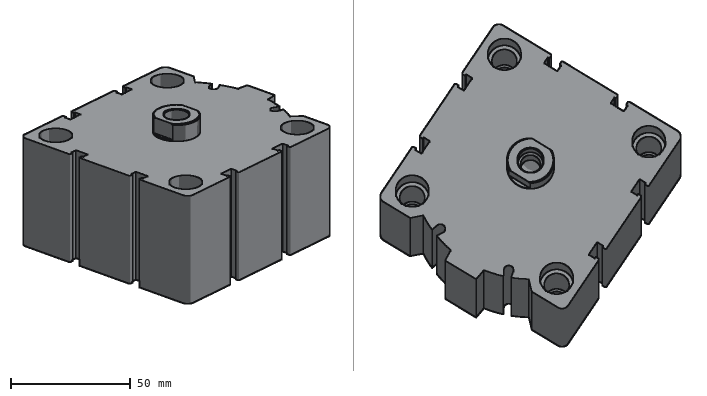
import cadquery as cq
import math

width = 93.0
half = width / 2
height = 50.0
length = 101.0
boss_rear = length - half
corner_radius = 3.0

lobe_radius = 50.0
boss_half_top = 7.7
boss_half_base = 8.3
notch_start_x = 30.3
notch_x = 26.3

groove_radius = 2.0
groove_pitch_radius = 46.9
groove_angle = 21.3
groove_mouth = 3.0
groove_overshoot = 1.0

slot_offset = 16.6
slot_mouth = 5.0
slot_inner = 6.6
slot_depth = 4.8
slot_lip = 1.8
slot_edge_radius = 0.5

hole_offset = 36.0
counterbore_diameter = 14.0
counterbore_depth = 9.0
thread_diameter = 10.5
thread_depth = 20.2
through_diameter = 8.6

rod_diameter = 20.0
rod_projection = 8.0
rod_socket_depth = 20.2
rod_chamfer = 0.5
flat_across = 17.0
flat_base = 0.7
rod_bore_diameter = 10.5
rod_bore_depth = 5.0
rod_bore_chamfer = 0.4
rod_pilot_diameter = 8.4
rod_pilot_depth = 12.1

drill_half_angle = 59.0


def cone_length(wide, narrow):
    """Axial length of a drilled cone that joins two diameters."""
    return (wide - narrow) / 2 / math.tan(math.radians(drill_half_angle))


def lobe_y(x):
    """Y of the lobe arc at a given X."""
    return math.sqrt(lobe_radius**2 - x**2)


def block():
    """Extruded square with the boss and lobes along its rear side."""
    lobe_mid_x = (boss_half_base + notch_x) / 2
    notch_y = lobe_y(notch_x)
    profile = (
        cq.Workplane("XY")
        .moveTo(-half, -half)
        .lineTo(half, -half)
        .lineTo(half, half)
        .lineTo(notch_start_x, half)
        .lineTo(notch_x, notch_y)
        .threePointArc((lobe_mid_x, lobe_y(lobe_mid_x)), (boss_half_base, lobe_y(boss_half_base)))
        .lineTo(boss_half_top, boss_rear)
        .lineTo(-boss_half_top, boss_rear)
        .lineTo(-boss_half_base, lobe_y(boss_half_base))
        .threePointArc((-lobe_mid_x, lobe_y(lobe_mid_x)), (-notch_x, notch_y))
        .lineTo(-notch_start_x, half)
        .lineTo(-half, half)
        .close()
        .extrude(height)
    )
    return profile.edges("|Z").edges("<X or >X").fillet(corner_radius)


def t_slot():
    """Cutter for a slot that opens toward -Y, centred on X = 0."""
    mouth = slot_mouth / 2
    inner = slot_inner / 2
    flare = mouth + slot_edge_radius
    bend = slot_edge_radius * (1 - math.sqrt(0.5))
    lip_y = -half + slot_lip
    floor_y = -half + slot_depth
    round_y = -half + slot_edge_radius
    return (
        cq.Workplane("XY")
        .moveTo(-flare, -half)
        .threePointArc((-mouth - bend, -half + bend), (-mouth, round_y))
        .lineTo(-mouth, lip_y)
        .lineTo(-inner, lip_y)
        .lineTo(-inner, floor_y)
        .lineTo(inner, floor_y)
        .lineTo(inner, lip_y)
        .lineTo(mouth, lip_y)
        .lineTo(mouth, round_y)
        .threePointArc((mouth + bend, -half + bend), (flare, -half))
        .close()
        .extrude(height)
    )


def sensor_groove():
    """Cutter for a keyhole groove on the +Y axis, narrowing to its mouth."""
    reach = lobe_radius + groove_overshoot
    bore = cq.Workplane("XY").center(0, groove_pitch_radius).circle(groove_radius).extrude(height)
    mouth = (
        cq.Workplane("XY")
        .moveTo(-groove_radius, groove_pitch_radius)
        .lineTo(-groove_mouth / 2, reach)
        .lineTo(groove_mouth / 2, reach)
        .lineTo(groove_radius, groove_pitch_radius)
        .close()
        .extrude(height)
    )
    return bore.union(mouth)


def mounting_hole():
    """Cutter for a counterbored, stepped through hole on the Z axis."""
    floor_z = height - counterbore_depth
    thread_z = floor_z - thread_depth
    neck_z = thread_z - cone_length(thread_diameter, through_diameter)
    return (
        cq.Workplane("XZ")
        .moveTo(0, 0)
        .lineTo(through_diameter / 2, 0)
        .lineTo(through_diameter / 2, neck_z)
        .lineTo(thread_diameter / 2, thread_z)
        .lineTo(thread_diameter / 2, floor_z)
        .lineTo(counterbore_diameter / 2, floor_z)
        .lineTo(counterbore_diameter / 2, height)
        .lineTo(0, height)
        .close()
        .revolve(360, (0, 0), (0, 1))
    )


def make_housing():
    """Block with T-slots on three sides, grooves, mounting holes and the rod socket."""
    housing = block()
    axis_start = (0, 0, 0)
    axis_end = (0, 0, 1)
    for turn in (-90, 0, 90):
        for side in (-1, 1):
            slot = t_slot().translate((side * slot_offset, 0, 0))
            housing = housing.cut(slot.rotate(axis_start, axis_end, turn))
    for angle in (-groove_angle, groove_angle):
        housing = housing.cut(sensor_groove().rotate(axis_start, axis_end, angle))
    for x in (-hole_offset, hole_offset):
        for y in (-hole_offset, hole_offset):
            housing = housing.cut(mounting_hole().translate((x, y, 0)))
    socket = (
        cq.Workplane("XY")
        .workplane(offset=height - rod_socket_depth)
        .circle(rod_diameter / 2)
        .extrude(rod_socket_depth)
    )
    return housing.cut(socket)


def rod_bore(top):
    """Cutter for the chamfered, stepped blind bore in the rod's end."""
    bore_z = top - rod_bore_depth
    pilot_z = bore_z - cone_length(rod_bore_diameter, rod_pilot_diameter)
    end_z = top - rod_pilot_depth
    tip_z = end_z - cone_length(rod_pilot_diameter, 0)
    return (
        cq.Workplane("XZ")
        .moveTo(0, tip_z)
        .lineTo(rod_pilot_diameter / 2, end_z)
        .lineTo(rod_pilot_diameter / 2, pilot_z)
        .lineTo(rod_bore_diameter / 2, bore_z)
        .lineTo(rod_bore_diameter / 2, top - rod_bore_chamfer)
        .lineTo(rod_bore_diameter / 2 + rod_bore_chamfer, top)
        .lineTo(0, top)
        .close()
        .revolve(360, (0, 0), (0, 1))
    )


def make_rod():
    """Rod seated in its socket, with two wrench flats and a bored end."""
    top = height + rod_projection
    rod = (
        cq.Workplane("XY")
        .workplane(offset=height - rod_socket_depth)
        .circle(rod_diameter / 2)
        .extrude(rod_socket_depth + rod_projection)
        .faces(">Z")
        .chamfer(rod_chamfer)
    )
    flat_depth = (rod_diameter - flat_across) / 2
    flat_height = rod_projection - flat_base
    for side in (-1, 1):
        flat = cq.Workplane("XY").box(rod_diameter, flat_depth, flat_height)
        flat_y = side * (flat_across + flat_depth) / 2
        rod = rod.cut(flat.translate((0, flat_y, top - flat_height / 2)))
    return rod.cut(rod_bore(top))


housing = make_housing().solids()
rod = make_rod().solids()
result = cq.Compound.makeCompound([housing.val(), rod.val()])